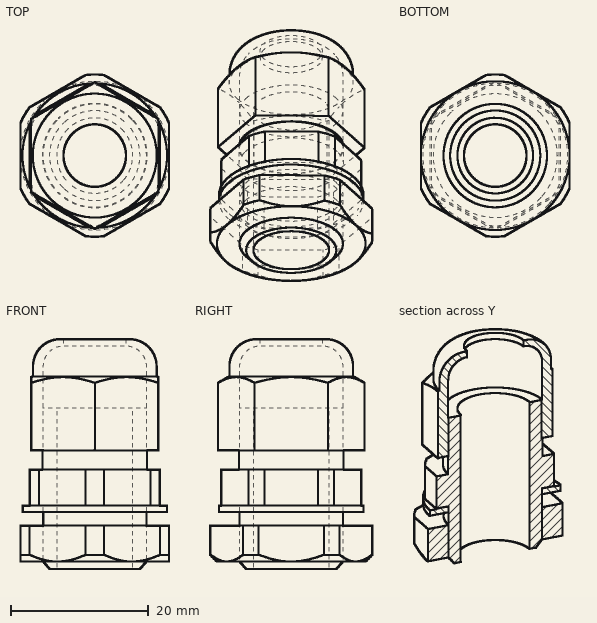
import cadquery as cq
import math


total_height = 33.4
locknut_bottom = 1.1
locknut_height = 5.2
gasket_bottom = 8.3
body_hex_bottom = 9.22
body_hex_top = 14.43
cap_bottom = 17.25
cap_hex_top = 28.0
spigot_top = 23.4

thread_diameter = 15.05
neck_diameter = 15.2
spigot_diameter = 15.0
body_bore_diameter = 11.0
inlet_diameter = 13.1
body_hex_flats = 18.88
body_hex_corner_diameter = 20.4

gasket_diameter = 21.0

locknut_flats = 21.6
locknut_corner_diameter = 23.6

cap_hex_flats = 18.45
cap_chamfer_angle = 30.0
dome_diameter = 18.0
dome_radius = 3.98
cable_hole_diameter = 9.05

hex_corner_factor = 1 / math.cos(math.radians(30))
dome_start = total_height - dome_radius


def cylinder(diameter, bottom, top):
    return cq.Workplane("XY").workplane(offset=bottom).circle(diameter / 2).extrude(top - bottom)


def hexagon(flats, bottom, top):
    """Hexagonal prism with two corners on the Y axis."""
    return (
        cq.Workplane("XY")
        .workplane(offset=bottom)
        .transformed(rotate=(0, 0, 30))
        .polygon(6, flats * hex_corner_factor)
        .extrude(top - bottom)
    )


def revolve_about_z(profile):
    """Revolve a closed XZ profile about the Z axis."""
    return profile.close().revolve(360, (0, 0, 0), (0, 1, 0))


def arc_midpoint(center_r, center_z, radius):
    """Middle of the upper outer quarter circle."""
    reach = radius * math.sqrt(0.5)
    return (center_r + reach, center_z + reach)


def make_gland_body():
    inlet = revolve_about_z(
        cq.Workplane("XZ")
        .lineTo(inlet_diameter / 2, 0)
        .lineTo(thread_diameter / 2, locknut_bottom)
        .lineTo(0, locknut_bottom)
    )
    thread = cylinder(thread_diameter, locknut_bottom, body_hex_bottom)
    rounded_corners = cylinder(body_hex_corner_diameter, body_hex_bottom, body_hex_top)
    wrench_hex = hexagon(body_hex_flats, body_hex_bottom, body_hex_top).intersect(rounded_corners)
    neck = cylinder(neck_diameter, body_hex_top, cap_bottom)
    spigot = cylinder(spigot_diameter, cap_bottom, spigot_top)
    bore = cylinder(body_bore_diameter, 0, spigot_top)
    return inlet.union(thread).union(wrench_hex).union(neck).union(spigot).cut(bore)


def make_gasket():
    ring = cylinder(gasket_diameter, gasket_bottom, body_hex_bottom)
    return ring.cut(cylinder(thread_diameter, gasket_bottom, body_hex_bottom))


def make_locknut():
    top = locknut_bottom + locknut_height
    corner_radius = locknut_corner_diameter / 2
    chamfer = corner_radius - locknut_flats / 2
    envelope = revolve_about_z(
        cq.Workplane("XZ")
        .moveTo(0, locknut_bottom)
        .lineTo(locknut_flats / 2, locknut_bottom)
        .lineTo(corner_radius, locknut_bottom + chamfer)
        .lineTo(corner_radius, top)
        .lineTo(0, top)
    )
    nut = hexagon(locknut_flats, locknut_bottom, top).intersect(envelope)
    return nut.cut(cylinder(thread_diameter, locknut_bottom, top))


def make_cap_hex():
    corner_radius = cap_hex_flats / 2 * hex_corner_factor
    chamfer_width = corner_radius - dome_diameter / 2
    chamfer_height = chamfer_width * math.tan(math.radians(cap_chamfer_angle))
    envelope = revolve_about_z(
        cq.Workplane("XZ")
        .moveTo(0, cap_bottom)
        .lineTo(corner_radius, cap_bottom)
        .lineTo(corner_radius, cap_hex_top - chamfer_height)
        .lineTo(dome_diameter / 2, cap_hex_top)
        .lineTo(0, cap_hex_top)
    )
    return hexagon(cap_hex_flats, cap_bottom, cap_hex_top).intersect(envelope)


def make_dome():
    flat_radius = dome_diameter / 2 - dome_radius
    return revolve_about_z(
        cq.Workplane("XZ")
        .moveTo(0, cap_bottom)
        .lineTo(dome_diameter / 2, cap_bottom)
        .lineTo(dome_diameter / 2, dome_start)
        .threePointArc(arc_midpoint(flat_radius, dome_start, dome_radius), (flat_radius, total_height))
        .lineTo(0, total_height)
    )


def make_cap_cavity():
    """Bore for the spigot, with a rounded roof that ends at the cable hole."""
    hole_radius = cable_hole_diameter / 2
    bore_radius = spigot_diameter / 2
    roof_radius = bore_radius - hole_radius
    roof_top = dome_start + roof_radius
    return revolve_about_z(
        cq.Workplane("XZ")
        .moveTo(0, cap_bottom)
        .lineTo(bore_radius, cap_bottom)
        .lineTo(bore_radius, dome_start)
        .threePointArc(arc_midpoint(hole_radius, dome_start, roof_radius), (hole_radius, roof_top))
        .lineTo(hole_radius, total_height)
        .lineTo(0, total_height)
    )


def make_cap_nut():
    return make_cap_hex().union(make_dome()).cut(make_cap_cavity())


gland_body = make_gland_body()
gasket = make_gasket()
locknut = make_locknut()
cap_nut = make_cap_nut()

bodies = [gland_body, gasket, locknut, cap_nut]
result = cq.Compound.makeCompound([body.solids().val() for body in bodies])